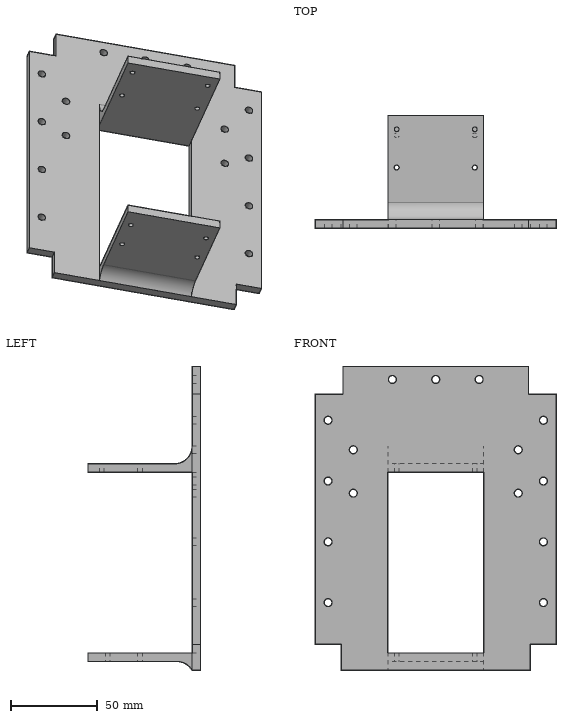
import cadquery as cq
import math

plate_width = 139.0
plate_height = 175.0
plate_thickness = 5.0
top_tab_width = 107.0
top_notch_height = 16.0
bottom_tab_width = 109.0
bottom_notch_height = 15.0

window_width = 55.0
window_height = 104.0
window_bottom = 10.0
window_top = window_bottom + window_height

overall_depth = 65.0
shelf_thickness = 5.0
fillet_radius = 10.0
upper_fillet_rise = fillet_radius
lower_fillet_rise = window_bottom - shelf_thickness

plate_hole_diameter = 4.4
top_hole_count = 3
top_hole_pitch = 25.0
top_hole_edge_distance = 7.5
top_hole_z = plate_height - top_hole_edge_distance
side_hole_count = 4
side_hole_pitch = 35.0
side_hole_spacing = 124.0
lowest_side_hole_z = 39.0
inner_hole_count = 2
inner_hole_pitch = 25.0
inner_hole_spacing = 95.0
lowest_inner_hole_z = 102.0

shelf_hole_diameter = 2.7
shelf_hole_spacing = 45.0
front_row_distance = 30.0
front_row_y = plate_thickness + front_row_distance
upper_row_pitch = 22.0
lower_row_pitch = 18.5


def make_plate():
    """Plate with a notch in each corner and a window."""
    top_notch_z = plate_height - top_notch_height
    plate = (
        cq.Workplane("XZ")
        .moveTo(0, 0)
        .lineTo(bottom_tab_width / 2, 0)
        .lineTo(bottom_tab_width / 2, bottom_notch_height)
        .lineTo(plate_width / 2, bottom_notch_height)
        .lineTo(plate_width / 2, top_notch_z)
        .lineTo(top_tab_width / 2, top_notch_z)
        .lineTo(top_tab_width / 2, plate_height)
        .lineTo(0, plate_height)
        .mirrorY()
        .extrude(-plate_thickness)
    )
    window = (
        cq.Workplane("XZ")
        .center(0, window_bottom + window_height / 2)
        .rect(window_width, window_height)
        .extrude(-plate_thickness)
    )
    return plate.cut(window)


def plate_hole_points():
    """Centres (x, z) of the holes in the plate."""
    points = []
    for i in range(top_hole_count):
        points.append(((i - (top_hole_count - 1) / 2) * top_hole_pitch, top_hole_z))
    for side in (-1, 1):
        for i in range(side_hole_count):
            points.append((side * side_hole_spacing / 2, lowest_side_hole_z + i * side_hole_pitch))
        for i in range(inner_hole_count):
            points.append((side * inner_hole_spacing / 2, lowest_inner_hole_z + i * inner_hole_pitch))
    return points


def make_plate_holes():
    return (
        cq.Workplane("XZ")
        .pushPoints(plate_hole_points())
        .circle(plate_hole_diameter / 2)
        .extrude(-plate_thickness)
    )


def make_shelf(inner_z, outward, fillet_rise, row_pitch):
    """Shelf with its inner side at inner_z and a concave fillet on its outer side.

    outward is 1 when the outer side faces up and -1 when it faces down.
    The fillet arc is tangent to the shelf and meets the plate fillet_rise away from it.
    """
    outer_z = inner_z + outward * shelf_thickness
    fillet_run = math.sqrt(fillet_radius**2 - (fillet_radius - fillet_rise) ** 2)
    shelf = (
        cq.Workplane("YZ")
        .moveTo(plate_thickness, inner_z)
        .lineTo(overall_depth, inner_z)
        .lineTo(overall_depth, outer_z)
        .lineTo(plate_thickness + fillet_run, outer_z)
        .radiusArc((plate_thickness, outer_z + outward * fillet_rise), outward * fillet_radius)
        .close()
        .extrude(window_width / 2, both=True)
    )
    holes = (
        cq.Workplane("XY")
        .workplane(offset=inner_z)
        .center(0, front_row_y + row_pitch / 2)
        .rect(shelf_hole_spacing, row_pitch, forConstruction=True)
        .vertices()
        .circle(shelf_hole_diameter / 2)
        .extrude(outward * shelf_thickness)
    )
    return shelf.cut(holes)


upper_shelf = make_shelf(window_top, 1, upper_fillet_rise, upper_row_pitch)
lower_shelf = make_shelf(window_bottom, -1, lower_fillet_rise, lower_row_pitch)

result = make_plate().cut(make_plate_holes()).union(upper_shelf).union(lower_shelf)